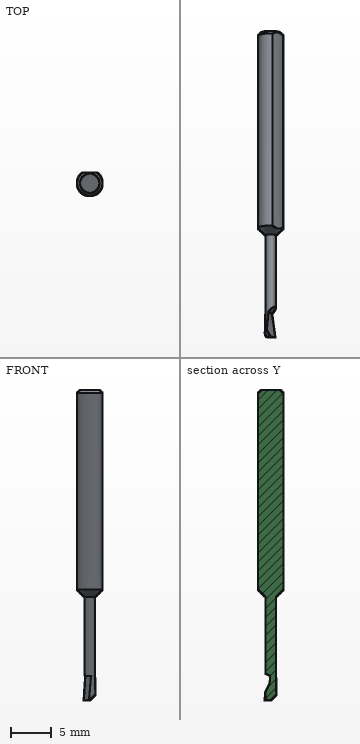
import cadquery as cq
import math

overall_length = 38.1

shank_radius = 3.175 / 2
shank_flat_y = 2.92 - shank_radius
shank_chamfer = 0.4

neck_radius = 0.67
neck_top_z = 12.7
cone_top_z = neck_top_z + shank_radius - neck_radius

head_top_z = 3.03
neck_rake_start_angle = -147
neck_heel_angle = -77
neck_rake_end_angle = 24
tip_radius = 0.76
tip_rake_start_angle = -180
tip_heel_angle = -97
tip_rake_end_angle = 4

lead_start_x = 0.0
lead_angle = 45
end_relief_angle = 3


def on_circle(radius, angle):
    """XY point on a circle about the bar axis, at an angle in degrees from +X."""
    radians = math.radians(angle)
    return (radius * math.cos(radians), radius * math.sin(radians))


def make_shank():
    """Round shank, chamfered on top, with the cone below and the flat cut along both."""
    cylinder = (
        cq.Workplane("XY", origin=(0, 0, cone_top_z))
        .circle(shank_radius)
        .extrude(overall_length - cone_top_z)
        .faces(">Z")
        .chamfer(shank_chamfer)
    )
    cone = cq.Solid.makeCone(
        neck_radius,
        shank_radius,
        cone_top_z - neck_top_z,
        pnt=cq.Vector(0, 0, neck_top_z),
    )
    flat_waste = (
        cq.Workplane("XY")
        .box(2 * shank_radius, shank_radius, overall_length, centered=(True, False, False))
        .translate((0, shank_flat_y, 0))
    )
    return cylinder.union(cq.Workplane(cone)).cut(flat_waste)


def make_neck():
    """Round neck whose lower end slopes at 45 degrees down to the top of the rake face."""
    neck = (
        cq.Workplane("XY", origin=(0, 0, head_top_z))
        .circle(neck_radius)
        .extrude(neck_top_z - head_top_z)
    )
    chord_angle = (neck_rake_start_angle + neck_rake_end_angle) / 2 + 90
    chord_end = on_circle(neck_radius, neck_rake_end_angle)
    reach = 3 * neck_radius
    slope_waste = (
        cq.Workplane("YZ")
        .polyline([(0, 0), (reach, 0), (reach, reach)])
        .close()
        .extrude(reach, both=True)
        .rotate((0, 0, 0), (0, 0, 1), chord_angle)
        .translate((*chord_end, head_top_z))
    )
    return neck.cut(slope_waste)


def head_section(z, radius, rake_start_angle, heel_angle, rake_end_angle):
    """Closed head outline: straight flank, round back and straight rake edge."""
    back_middle_angle = (heel_angle + rake_end_angle) / 2
    return (
        cq.Workplane("XY", origin=(0, 0, z))
        .moveTo(*on_circle(radius, rake_start_angle))
        .lineTo(*on_circle(radius, heel_angle))
        .threePointArc(on_circle(radius, back_middle_angle), on_circle(radius, rake_end_angle))
        .close()
        .val()
    )


def make_head():
    """Head widening and twisting from the neck to the tip, relieved along its bottom."""
    neck_section = head_section(
        head_top_z, neck_radius, neck_rake_start_angle, neck_heel_angle, neck_rake_end_angle
    )
    tip_section = head_section(
        0, tip_radius, tip_rake_start_angle, tip_heel_angle, tip_rake_end_angle
    )
    head = cq.Workplane(cq.Solid.makeLoft([neck_section, tip_section], True))

    reach = 3 * tip_radius
    lead_waste = (
        cq.Workplane("XZ")
        .moveTo(lead_start_x, 0)
        .line(reach, 0)
        .line(0, reach * math.tan(math.radians(lead_angle)))
        .close()
        .extrude(reach, both=True)
    )
    cutting_corner = on_circle(tip_radius, tip_rake_start_angle)
    end_waste = (
        cq.Workplane("XY")
        .box(2 * reach, 2 * reach, reach, centered=(True, True, False))
        .translate((0, 0, -reach))
        .rotate((0, 0, 0), (1, 0, 0), -end_relief_angle)
        .rotate((0, 0, 0), (0, 1, 0), -end_relief_angle)
        .translate((*cutting_corner, 0))
    )
    return head.cut(lead_waste).cut(end_waste)


result = make_shank().union(make_neck()).union(make_head())